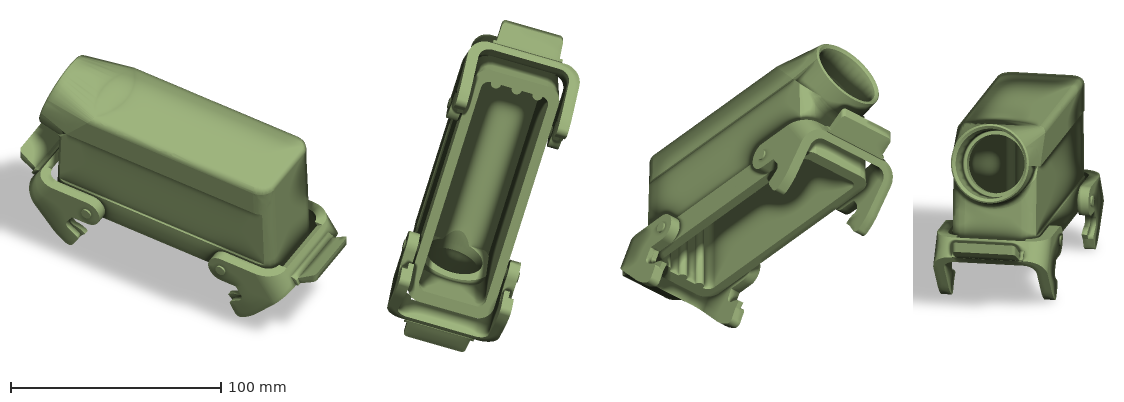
import cadquery as cq
import math

HOOD_HEIGHT = 62.2
BASE_LENGTH = 121.0
TOP_LENGTH = 116.8
HOOD_WIDTH = 42.6
CORNER_RADIUS = 7.5
TOP_FILLET = 3.0
RIM_HEIGHT = 13.0
LEDGE_HEIGHT = 46.0
SIDE_RECESS = 1.1
WALL = 3.6
ROOF = 5.0
CAVITY_CORNER = 4.0
COLUMN_DIAMETER = 5.0
COLUMN_PITCH = 10.3

PORT_TILT = 15.0
PORT_X = -68.0
PORT_Z = 50.5
PORT_DIAMETER = 37.7
PORT_CHAMFER = 0.7
MOUTH_DIAMETER = 36.0
MOUTH_DEPTH = 1.3
BORE_ENTRY_DIAMETER = 33.5
BORE_DIAMETER = 32.0
BORE_DEPTH = 15.0
THROAT_DIAMETER = 28.0
PORT_LENGTH = 20.5
UNDERSIDE_FILLET = 3.3
SHOULDER_TOP_X = -38.4
SHOULDER_LEDGE_X = -52.0
CREST_X = -31.3
FOLD_X = -44.1
SIDE_ANGLE = 27.0
CREST_ANGLE = 54.0

PIVOT_X = 37.0
PIVOT_Z = 5.9
PIVOT_DIAMETER = 5.1
PIVOT_SPAN = 57.2
BOSS_DIAMETER = 6.4
LEVER_WIDTH = 55.5
ARM_THICKNESS = 5.2
HOOK_STEP = 2.6
BRIDGE_THICKNESS = 3.6
BRIDGE_TILT = 33.0
BRIDGE_X = -66.9
BEND_RADIUS = 9.3
TAB_TIP_X = -82.0
TAB_TIP_WIDTH = 30.2
TAB_ROOT_WIDTH = 32.1
TAB_CORNER = 1.8
COLLAR_WIDTH = 34.5

half_width = HOOD_WIDTH / 2
half_lever = LEVER_WIDTH / 2
arm_inner = half_lever - ARM_THICKNESS
tilt = math.radians(PORT_TILT)
port_up = cq.Vector(math.sin(tilt), 0, math.cos(tilt))
port_inward = cq.Vector(math.cos(tilt), 0, -math.sin(tilt))
port_center = cq.Vector(PORT_X, 0, PORT_Z)
shoulder_slope = (SHOULDER_TOP_X - SHOULDER_LEDGE_X) / (HOOD_HEIGHT - LEDGE_HEIGHT)


def shoulder_x(z):
    """X of the sloping shoulder plane, where the port meets the hood, at height z."""
    return SHOULDER_LEDGE_X + (z - LEDGE_HEIGHT) * shoulder_slope


def rounded_rectangle(length, width, radius):
    return cq.Sketch().rect(length, width).vertices().fillet(radius)


def hood_block():
    """Drafted rounded block, recessed along both long sides between rim and ledge."""
    block = (
        cq.Workplane("XY")
        .placeSketch(
            rounded_rectangle(BASE_LENGTH, HOOD_WIDTH, CORNER_RADIUS),
            rounded_rectangle(TOP_LENGTH, HOOD_WIDTH, CORNER_RADIUS).moved(cq.Location((0, 0, HOOD_HEIGHT))),
        )
        .loft(ruled=True)
        .faces(">Z")
        .edges()
        .fillet(TOP_FILLET)
    )
    recess_height = LEDGE_HEIGHT - RIM_HEIGHT
    for side in (-1, 1):
        slab = cq.Workplane("XY").box(BASE_LENGTH, 2 * SIDE_RECESS, recess_height)
        block = block.cut(slab.translate((0, side * half_width, RIM_HEIGHT + recess_height / 2)))
    return block


def shoulder_cutter():
    """Everything on the port side of the sloping shoulder plane."""
    low, high, outside = LEDGE_HEIGHT - WALL * 4, HOOD_HEIGHT + WALL, -BASE_LENGTH
    return (
        cq.Workplane("XZ")
        .moveTo(shoulder_x(low), low)
        .lineTo(shoulder_x(high), high)
        .lineTo(outside, high)
        .lineTo(outside, low)
        .close()
        .extrude(HOOD_WIDTH, both=True)
    )


def port_cylinder(diameter, start, depth, end_diameter=None):
    """Round solid on the port axis, measured inwards from the port face; tapered if the ends differ."""
    end_diameter = end_diameter or diameter
    taper = math.degrees(math.atan((diameter - end_diameter) / 2 / depth))
    plane = cq.Plane(origin=port_center + port_inward * start, xDir=(0, 1, 0), normal=port_inward)
    return cq.Workplane(plane).circle(diameter / 2).extrude(depth, taper=taper)


def rim_chamfer_ring():
    """Waste ring whose conical inside trims the outer edge of the port face."""
    stock = port_cylinder(PORT_DIAMETER + 2 * PORT_CHAMFER, 0, PORT_CHAMFER)
    return stock.cut(port_cylinder(PORT_DIAMETER - 2 * PORT_CHAMFER, 0, PORT_CHAMFER, PORT_DIAMETER))


def port_bore():
    """Flared mouth, slightly tapered bore and the narrower throat behind its shoulder."""
    mouth = port_cylinder(MOUTH_DIAMETER, 0, MOUTH_DEPTH, BORE_ENTRY_DIAMETER)
    bore = port_cylinder(BORE_ENTRY_DIAMETER, MOUTH_DEPTH, BORE_DEPTH - MOUTH_DEPTH, BORE_DIAMETER)
    throat = port_cylinder(THROAT_DIAMETER, BORE_DEPTH, PORT_LENGTH)
    return mouth.union(bore).union(throat)


def underside_joint():
    """Selects the edges where the port's underside meets the end wall and its rounded corners."""
    end_wall = -BASE_LENGTH / 2
    reach = half_width - SIDE_RECESS
    return cq.selectors.BoxSelector(
        (end_wall, -reach, LEDGE_HEIGHT / 2),
        (end_wall + 1.6, reach, LEDGE_HEIGHT - CORNER_RADIUS),
    )


def rim_point(angle):
    """Point on the port's outer rim; 0 degrees is towards +Y, 90 degrees is up."""
    turn = math.radians(angle)
    radius = PORT_DIAMETER / 2
    return port_center + cq.Vector(0, radius * math.cos(turn), 0) + port_up * (radius * math.sin(turn))


def rim_arc(start, end):
    return cq.Edge.makeThreePointArc(rim_point(start), rim_point((start + end) / 2), rim_point(end))


def shoulder_point(y, z):
    return cq.Vector(shoulder_x(z), y, z)


def shoulder_corner(side):
    """Fillet arc of the hood's top edge, taken on the shoulder plane."""
    drop = TOP_FILLET * (1 - math.sqrt(0.5))
    low = shoulder_point(side * half_width, HOOD_HEIGHT - TOP_FILLET)
    middle = shoulder_point(side * (half_width - drop), HOOD_HEIGHT - drop)
    high = shoulder_point(side * (half_width - TOP_FILLET), HOOD_HEIGHT)
    return low, middle, high


def port_transition():
    """Blend from the upper half of the port rim to the hood section at the shoulder.

    The top folds along an arc, beyond which a lens-shaped face runs down to the flat roof.
    """
    left_low, left_middle, left_high = shoulder_corner(1)
    right_low, right_middle, right_high = shoulder_corner(-1)
    left_ledge = shoulder_point(half_width, LEDGE_HEIGHT)
    right_ledge = shoulder_point(-half_width, LEDGE_HEIGHT)
    fold_height = rim_point(90).z - (FOLD_X - rim_point(90).x) * math.tan(tilt)
    fold = cq.Edge.makeThreePointArc(left_high, cq.Vector(FOLD_X, 0, fold_height), right_high)
    crest = cq.Edge.makeThreePointArc(left_high, cq.Vector(CREST_X, 0, HOOD_HEIGHT), right_high)
    chord = cq.Edge.makeLine(left_high, right_high)
    shoulder_edges = [
        cq.Edge.makeLine(left_ledge, left_low),
        cq.Edge.makeThreePointArc(left_low, left_middle, left_high),
        fold,
        cq.Edge.makeThreePointArc(right_high, right_middle, right_low),
        cq.Edge.makeLine(right_low, right_ledge),
        cq.Edge.makeLine(right_ledge, left_ledge),
    ]
    angles = [0, SIDE_ANGLE, CREST_ANGLE, 180 - CREST_ANGLE, 180 - SIDE_ANGLE, 180]
    rim_edges = [rim_arc(start, end) for start, end in zip(angles, angles[1:])]
    rim_edges.append(cq.Edge.makeLine(rim_point(180), rim_point(0)))
    faces = [cq.Face.makeRuledSurface(rim, edge) for rim, edge in zip(rim_edges, shoulder_edges)]
    faces.append(cq.Face.makeFromWires(cq.Wire.assembleEdges(rim_edges)))
    section = shoulder_edges[:2] + [chord] + shoulder_edges[3:]
    faces.append(cq.Face.makeFromWires(cq.Wire.assembleEdges(section)))
    faces.append(cq.Face.makeRuledSurface(fold, crest))
    faces.append(cq.Face.makeFromWires(cq.Wire.assembleEdges([crest, chord])))
    return cq.Workplane(obj=cq.Solid.makeSolid(cq.Shell.makeShell(faces)).fix())


def cavity():
    """Open-bottomed inside of the hood, with three round columns left on the +X wall."""
    ceiling = HOOD_HEIGHT - ROOF
    length = TOP_LENGTH - 2 * WALL
    hollow = (
        cq.Workplane("XY")
        .placeSketch(rounded_rectangle(length, HOOD_WIDTH - 2 * (WALL + SIDE_RECESS), CAVITY_CORNER))
        .extrude(ceiling)
    )
    columns = (
        cq.Workplane("XY")
        .pushPoints([(length / 2, -COLUMN_PITCH), (length / 2, 0), (length / 2, COLUMN_PITCH)])
        .circle(COLUMN_DIAMETER / 2)
        .extrude(ceiling)
    )
    return hollow.cut(columns)


def pivots():
    """Four pivot pins, each standing on a round boss that fills the gap to the lever arm."""
    pins = cq.Workplane("XY")
    for side in (-1, 1):
        for x in (-PIVOT_X, PIVOT_X):
            start = half_width - WALL
            for diameter, end in ((BOSS_DIAMETER, arm_inner), (PIVOT_DIAMETER, PIVOT_SPAN / 2)):
                pins = pins.add(cq.Solid.makeCylinder(
                    diameter / 2, end - start,
                    pnt=cq.Vector(x, side * start, PIVOT_Z),
                    dir=cq.Vector(0, side, 0),
                ))
    return pins


def make_housing():
    tube = port_cylinder(PORT_DIAMETER, 0, PORT_LENGTH)
    outside = hood_block().cut(shoulder_cutter())
    body = outside.union(port_transition()).cut(cavity()).union(tube)
    body = body.edges(underside_joint()).fillet(UNDERSIDE_FILLET)
    body = body.cut(port_bore()).cut(rim_chamfer_ring())
    for pin in pivots().vals():
        body = body.union(cq.Workplane(obj=pin))
    return body


def lever_outline(inner_layer):
    """Side outline of the lever; the inner layer has the hook that reaches further forward."""
    radius = RIM_HEIGHT - PIVOT_Z
    outline = (
        cq.Workplane("XZ")
        .moveTo(BRIDGE_X, RIM_HEIGHT)
        .lineTo(-PIVOT_X, RIM_HEIGHT)
        .threePointArc((-PIVOT_X + radius, PIVOT_Z), (-PIVOT_X, PIVOT_Z - radius))
        .lineTo(-45.3, PIVOT_Z - radius)
    )
    if inner_layer:
        outline = (
            outline.lineTo(-47.0, -4.3)
            .threePointArc((-47.4, -7.4), (-45.6, -9.0))
            .threePointArc((-42.3, -9.8), (-39.5, -11.6))
            .lineTo(-42.0, -14.3)
        )
    else:
        outline = (
            outline.lineTo(-47.7, -5.0)
            .threePointArc((-48.5, -7.2), (-47.4, -9.3))
            .lineTo(-43.0, -12.3)
            .threePointArc((-42.1, -13.1), (-42.0, -14.3))
        )
    return (
        outline.lineTo(-44.8, -19.2)
        .threePointArc((-46.7, -20.5), (-48.9, -20.0))
        .threePointArc((-53.5, -16.9), (-57.4, -12.8))
        .lineTo(-72.3, 4.5)
        .close()
    )


def bent_strap(outer_width, bridge_face, bend_radius):
    """Long U-section block, its closed end tilted like the lever's bridge."""
    lean = math.radians(BRIDGE_TILT)
    plane = cq.Plane(
        origin=(BRIDGE_X, 0, RIM_HEIGHT),
        xDir=(math.cos(lean), 0, -math.sin(lean)),
        normal=(-math.sin(lean), 0, -math.cos(lean)),
    )
    reach = 2 * PIVOT_X
    return (
        cq.Workplane(plane)
        .center(bridge_face + reach / 2, 0)
        .rect(reach, outer_width)
        .extrude(reach, both=True)
        .edges(cq.selectors.ParallelDirSelector(plane.zDir))
        .edges("<X")
        .fillet(bend_radius)
    )


def bridge_end_cutter(width):
    """Wedge that squares off the top of the tilted bridge between its bends."""
    lean = math.radians(BRIDGE_TILT)
    drop_x = BRIDGE_X + 2 * BRIDGE_THICKNESS * math.cos(lean)
    drop_z = RIM_HEIGHT - 2 * BRIDGE_THICKNESS * math.sin(lean)
    return (
        cq.Workplane("XZ")
        .polyline([(BRIDGE_X, RIM_HEIGHT), (drop_x, drop_z), (drop_x, RIM_HEIGHT)])
        .close()
        .extrude(width / 2, both=True)
    )


def finger_tab():
    """Sloping finger tab with a tapered plan, on a slightly wider collar at its root."""
    profile = [(TAB_TIP_X, 14.6), (TAB_TIP_X, 10.0), (-72.6, 4.6), (-70.2, 5.9), (-68.7, 8.0), (-72.5, 8.0)]
    side = cq.Workplane("XZ").polyline(profile).close().extrude(TAB_ROOT_WIDTH, both=True)
    tip, root = TAB_TIP_WIDTH / 2, TAB_ROOT_WIDTH / 2
    plan = (
        cq.Workplane("XY")
        .polyline([(TAB_TIP_X, -tip), (BRIDGE_X, -root), (BRIDGE_X, root), (TAB_TIP_X, tip)])
        .close()
        .extrude(RIM_HEIGHT * 2)
        .edges("|Z and <X")
        .fillet(TAB_CORNER)
    )
    collar = (
        cq.Workplane("XZ")
        .polyline([(-73.8, 5.2), (-72.6, 4.6), (-70.2, 5.9), (-68.7, 8.9), (-70.5, 8.9), (-72.5, 8.0)])
        .close()
        .extrude(COLLAR_WIDTH / 2, both=True)
    )
    return side.intersect(plan).union(collar)


def make_lever():
    """Lever at the -X end: two hooked arms joined by a tilted bridge with a finger tab."""
    inner_bend = BEND_RADIUS - BRIDGE_THICKNESS
    strap = bent_strap(LEVER_WIDTH, 0, BEND_RADIUS)
    strap = strap.cut(bent_strap(2 * arm_inner, BRIDGE_THICKNESS, inner_bend))
    strap = strap.cut(bridge_end_cutter(2 * (arm_inner - inner_bend)))
    inner_layer = lever_outline(True).extrude(half_lever - HOOK_STEP, both=True)
    outer_layer = lever_outline(False).extrude(half_lever, both=True)
    core = cq.Workplane("XY").box(4 * PIVOT_X, LEVER_WIDTH - 2 * HOOK_STEP, 4 * PIVOT_X)
    sides = outer_layer.cut(core).union(inner_layer)
    pivot_hole = (
        cq.Workplane("XZ")
        .center(-PIVOT_X, PIVOT_Z)
        .circle(PIVOT_DIAMETER / 2)
        .extrude(LEVER_WIDTH, both=True)
    )
    return strap.intersect(sides).cut(pivot_hole).union(finger_tab())


housing = make_housing()
lever = make_lever()
levers = [lever.rotate((0, 0, 0), (0, 0, 1), turn) for turn in (0, 180)]

result = cq.Compound.makeCompound([housing.val(), *[one.val() for one in levers]])